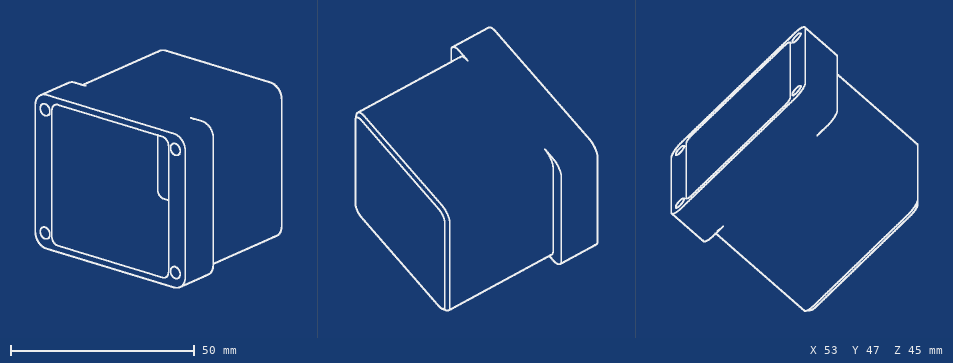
import cadquery as cq

flange_width = 53.0
height = 45.0
depth = 47.0
body_width = height
flange_depth = 12.0
corner_radius = 4.0
end_chamfer = 1.0

cavity_size = 41.2
cavity_corner_radius = 2.1
end_wall = (height - cavity_size) / 2

hole_diameter = 3.4
hole_depth = 9.55
hole_tip_length = hole_diameter / 2
hole_spacing_x = 46.0
hole_spacing_z = 36.05

front_y = -depth / 2


def rounded_block(width, block_height, length, radius):
    """Block running in +Y from the mouth face, with rounded lengthwise edges."""
    block = cq.Workplane("XY").box(width, length, block_height)
    block = block.edges("|Y").fillet(radius)
    return block.translate((0, front_y + length / 2, 0))


def screw_hole(x, z):
    """Drilled hole with a conical tip, revolved about its axis along Y."""
    radius = hole_diameter / 2
    profile = (
        cq.Workplane("XY")
        .lineTo(radius, 0)
        .lineTo(radius, hole_depth)
        .lineTo(0, hole_depth + hole_tip_length)
        .close()
    )
    hole = profile.revolve(360, (0, 0, 0), (0, 1, 0))
    return hole.translate((x, front_y, z))


body = rounded_block(body_width, height, depth, corner_radius)
body = body.faces(">Y").chamfer(end_chamfer)
flange = rounded_block(flange_width, height, flange_depth, corner_radius)
result = body.union(flange)

cavity = rounded_block(cavity_size, cavity_size, depth - end_wall, cavity_corner_radius)
result = result.cut(cavity)

for x_side in (-1, 1):
    for z_side in (-1, 1):
        hole = screw_hole(x_side * hole_spacing_x / 2, z_side * hole_spacing_z / 2)
        result = result.cut(hole)